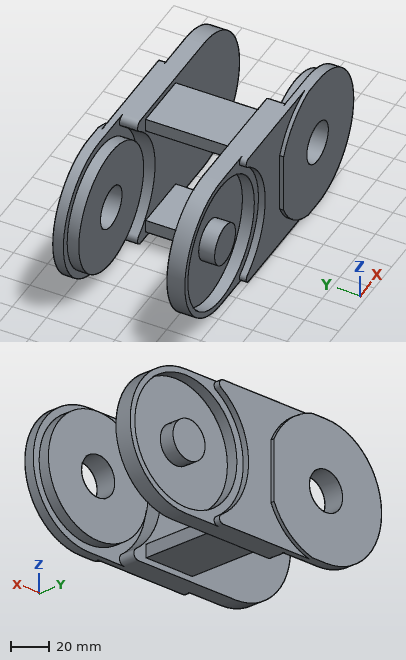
import cadquery as cq
import math

length = 179.0
height = 82.0
width = 83.6
end_radius = height / 2
joint_x = length / 2 - end_radius

pad_thickness = 2.3
outer_thickness = 4.0
inner_thickness = 10.5
pad_face = -width / 2
outer_face = pad_face + pad_thickness
layer_joint = outer_face + outer_thickness
inner_face = layer_joint + inner_thickness

clearance_radius = 42.2
outer_tip_radius = 2.7
inner_tip_radius = 3.4
pad_flat_x = 10.2
disc_radius = 36.7
disc_height = 6.8
recess_radius = 37.6
recess_depth = 7.0
pin_radius = 11.8
pin_projection = 2.3
hole_radius = 12.2

bar_length = 34.0
bar_thickness = 7.7
bar_edge_margin = 3.4


def profile_plane(y):
    """Sketch plane at the given Y; local axes are X and Z; the normal points toward -Y."""
    return cq.Workplane(cq.Plane(origin=(0, y, 0), xDir=(1, 0, 0), normal=(0, -1, 0)))


def cylinder(x, radius, y_start, y_end):
    """Round bar along Y, centred at the given X."""
    return profile_plane(y_start).center(x, 0).circle(radius).extrude(y_start - y_end)


def slot_plate(y_start, y_end):
    """Full-length plate with round ends."""
    return profile_plane(y_start).slot2D(length, height).extrude(y_start - y_end)


def half_plate(y_start, y_end, tip_radius):
    """Plate round at +X and hollowed by the clearance arc at -X, with rounded tips."""
    tip_z = end_radius - tip_radius
    tip_distance = clearance_radius + tip_radius
    tip_x = -joint_x + math.sqrt(tip_distance**2 - tip_z**2)

    tangent_angle = math.atan2(tip_z, tip_x + joint_x)
    tangent_x = -joint_x + clearance_radius * math.cos(tangent_angle)
    tangent_z = clearance_radius * math.sin(tangent_angle)
    middle_angle = (math.pi / 2 + math.pi + tangent_angle) / 2
    tip_middle_x = tip_x + tip_radius * math.cos(middle_angle)
    tip_middle_z = tip_z + tip_radius * math.sin(middle_angle)

    return (
        profile_plane(y_start)
        .moveTo(tip_x, end_radius)
        .lineTo(joint_x, end_radius)
        .threePointArc((length / 2, 0), (joint_x, -end_radius))
        .lineTo(tip_x, -end_radius)
        .threePointArc((tip_middle_x, -tip_middle_z), (tangent_x, -tangent_z))
        .threePointArc((clearance_radius - joint_x, 0), (tangent_x, tangent_z))
        .threePointArc((tip_middle_x, tip_middle_z), (tip_x, end_radius))
        .close()
        .extrude(y_start - y_end)
    )


def pad():
    """Thin raised pad around the hole, trimmed to the plate outline and a flat."""
    flat_side = cq.Workplane("XY").box(length, width, height).translate((pad_flat_x + length / 2, 0, 0))
    disc = cylinder(joint_x, clearance_radius, pad_face, outer_face)
    return disc.intersect(slot_plate(pad_face, outer_face)).intersect(flat_side)


def side_plate():
    """Side plate at -Y: recess and pin at -X, disc and through hole at +X."""
    outer_layer = half_plate(outer_face, layer_joint, outer_tip_radius)
    inner_layer = half_plate(layer_joint, inner_face, inner_tip_radius).mirror("YZ")
    recess_floor = layer_joint + recess_depth
    recess = cylinder(-joint_x, recess_radius, layer_joint, recess_floor)
    pin = cylinder(-joint_x, pin_radius, layer_joint - pin_projection, recess_floor)
    disc_face = layer_joint + disc_height
    disc = cylinder(joint_x, disc_radius, layer_joint, disc_face)
    hole = cylinder(joint_x, hole_radius, pad_face, disc_face)
    plate = inner_layer.cut(recess).union(pin)
    return plate.union(outer_layer).union(pad()).union(disc).cut(hole)


def crossbar(side):
    """Bar along Y near the top (side = 1) or bottom (side = -1) edge."""
    bar_z = end_radius - bar_edge_margin - bar_thickness / 2
    bar = cq.Workplane("XY").box(bar_length, 2 * abs(inner_face), bar_thickness)
    return bar.translate((0, 0, side * bar_z))


front_plate = side_plate()
rear_plate = front_plate.rotate((0, 0, 0), (0, 0, 1), 180)
result = front_plate.union(rear_plate)
for side in (1, -1):
    result = result.union(crossbar(side))